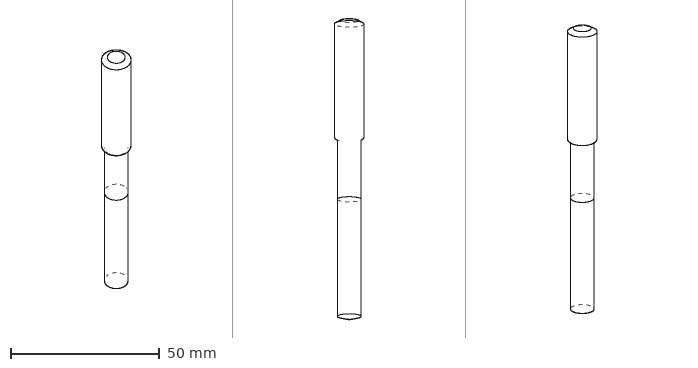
import cadquery as cq
import math

overall_length = 103.0
tip_length = 41.5
point_height = 1.2
shank_bottom = 63.0

shank_radius = 5.0
neck_radius = 4.0
end_face_radius = 3.0

end_cone_angle = math.radians(30)
shank_top = overall_length - (shank_radius - end_face_radius) * math.tan(end_cone_angle)

shoulder_round = 0.75
neck_fillet = 0.6
shoulder_turn = math.acos(1 - (shank_radius - neck_radius) / (shoulder_round + neck_fillet))
arc_joint_radius = shank_radius - shoulder_round * (1 - math.cos(shoulder_turn))
arc_joint_z = shank_bottom - shoulder_round * math.sin(shoulder_turn)
neck_top = arc_joint_z - neck_fillet * math.sin(shoulder_turn)


def revolve_about_z(profile):
    """Turn a closed half-profile, drawn in the XZ plane, around the Z axis."""
    return profile.revolve(360, (0, 0, 0), (0, 1, 0))


def make_tip():
    """Lower rod with a shallow conical point."""
    profile = (
        cq.Workplane("XZ")
        .lineTo(neck_radius, point_height)
        .lineTo(neck_radius, tip_length)
        .lineTo(0, tip_length)
        .close()
    )
    return revolve_about_z(profile)


def make_shank():
    """Upper rod: neck, shoulder, thick shank and coned end."""
    profile = (
        cq.Workplane("XZ")
        .moveTo(0, tip_length)
        .lineTo(neck_radius, tip_length)
        .lineTo(neck_radius, neck_top)
        .radiusArc((arc_joint_radius, arc_joint_z), neck_fillet)
        .radiusArc((shank_radius, shank_bottom), -shoulder_round)
        .lineTo(shank_radius, shank_top)
        .lineTo(end_face_radius, overall_length)
        .lineTo(0, overall_length)
        .close()
    )
    return revolve_about_z(profile)


tip = make_tip()
shank = make_shank()
result = cq.Compound.makeCompound([tip.val(), shank.val()])